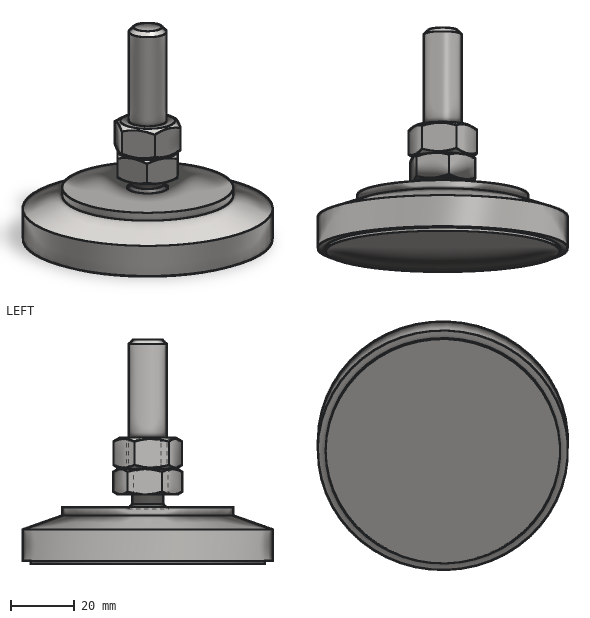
import cadquery as cq
import math

plate_diameter = 79.0
pad_diameter = 74.0
lip_diameter = 54.0
pad_height = 1.0
rim_height = 9.95
cone_height = 4.4
lip_height = 2.6
plate_bottom = pad_height
plate_top = plate_bottom + rim_height + cone_height + lip_height

overall_height = 71.0
neck_diameter = 9.9
flare_diameter = 12.95
flare_height = (flare_diameter - neck_diameter) / 2
exposed_flare_height = 0.95
recess_depth = flare_height - exposed_flare_height
flare_bottom = plate_top - recess_depth
neck_length = 4.0
shank_diameter = 12.0
shank_chamfer = 1.5

across_flats = 18.95
across_corners = across_flats / math.cos(math.radians(30))
bevel_angle = 30.0
spindle_hex_height = 8.0
spindle_hex_face = across_flats
spindle_hex_turn = -5.5
nut_height = 10.0
nut_face = 17.3
nut_turn = 7.5
hex_bottom = plate_top + neck_length
nut_bottom = hex_bottom + spindle_hex_height


def make_disc(diameter, bottom, height):
    return cq.Workplane("XY").workplane(offset=bottom).circle(diameter / 2).extrude(height)


def make_bevelled_hexagon(bottom, height, face_diameter, turn):
    """Hexagonal prism whose corners are cut by a cone at both ends."""
    prism = cq.Workplane("XY").polygon(6, across_corners).extrude(height)
    prism = prism.rotate((0, 0, 0), (0, 0, 1), 90 + turn)
    face_radius = face_diameter / 2
    corner_radius = across_corners / 2
    bevel_height = (corner_radius - face_radius) * math.tan(math.radians(bevel_angle))
    envelope = (
        cq.Workplane("XZ")
        .polyline([
            (0, 0),
            (face_radius, 0),
            (corner_radius, bevel_height),
            (corner_radius, height - bevel_height),
            (face_radius, height),
            (0, height),
        ])
        .close()
        .revolve(360, (0, 0, 0), (0, 1, 0))
    )
    return prism.intersect(envelope).translate((0, 0, bottom))


def make_pad():
    return make_disc(pad_diameter, 0, pad_height)


def make_plate():
    rim_radius = plate_diameter / 2
    lip_radius = lip_diameter / 2
    rim_top = plate_bottom + rim_height
    disc = (
        cq.Workplane("XZ")
        .polyline([
            (0, plate_bottom),
            (rim_radius, plate_bottom),
            (rim_radius, rim_top),
            (lip_radius, rim_top + cone_height),
            (lip_radius, plate_top),
            (0, plate_top),
        ])
        .close()
        .revolve(360, (0, 0, 0), (0, 1, 0))
    )
    recess = make_disc(flare_diameter, flare_bottom, recess_depth)
    return disc.cut(recess)


def make_spindle():
    flare = (
        cq.Workplane("XY")
        .workplane(offset=flare_bottom)
        .circle(flare_diameter / 2)
        .workplane(offset=flare_height)
        .circle(neck_diameter / 2)
        .loft()
    )
    neck = make_disc(neck_diameter, plate_top + exposed_flare_height, neck_length - exposed_flare_height)
    hexagon = make_bevelled_hexagon(hex_bottom, spindle_hex_height, spindle_hex_face, spindle_hex_turn)
    shank = make_disc(shank_diameter, nut_bottom, overall_height - nut_bottom)
    shank = shank.faces(">Z").chamfer(shank_chamfer)
    return flare.union(neck).union(hexagon).union(shank)


def make_nut():
    bore = make_disc(shank_diameter, nut_bottom, nut_height)
    return make_bevelled_hexagon(nut_bottom, nut_height, nut_face, nut_turn).cut(bore)


pad = make_pad()
plate = make_plate()
spindle = make_spindle()
nut = make_nut()

result = cq.Compound.makeCompound([pad.val(), plate.val(), spindle.val(), nut.val()])